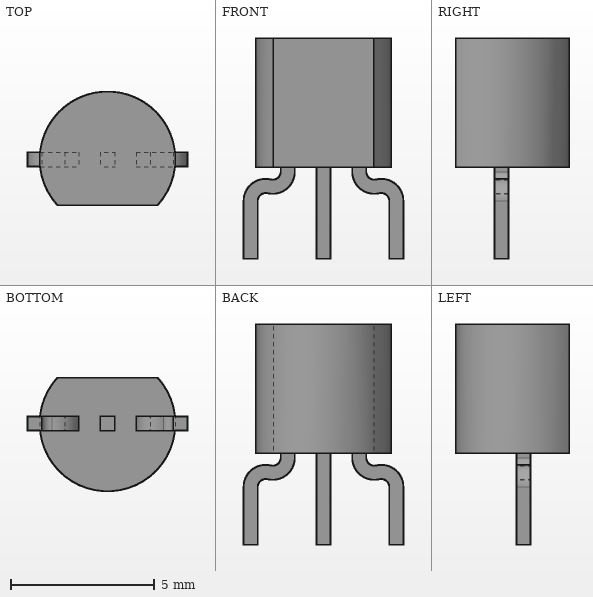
import cadquery as cq
import math

total_height = 7.7
body_height = 4.51
body_radius = 2.37
flat_distance = 1.6

lead_size = 0.5
lead_pitch = 2.54
outer_exit_x = 1.25
lead_foot_length = 2.02
bend_radius = 0.52
lead_length = total_height - body_height


def make_body():
    half_flat = math.sqrt(body_radius**2 - flat_distance**2)
    return (
        cq.Workplane("XY")
        .moveTo(-half_flat, -flat_distance)
        .threePointArc((0, body_radius), (half_flat, -flat_distance))
        .close()
        .extrude(body_height)
    )


def make_straight_lead():
    return cq.Workplane("XY").rect(lead_size, lead_size).extrude(-lead_length)


def make_bent_lead():
    """Lead on the +X side; its two equal bends meet tangentially."""
    half = lead_size / 2
    inner = bend_radius - half
    outer = bend_radius + half

    lower_x = lead_pitch - bend_radius
    lower_z = lead_foot_length - lead_length
    upper_x = outer_exit_x + bend_radius
    tilt = math.asin((lower_x - upper_x) / (2 * bend_radius))
    upper_z = lower_z + 2 * bend_radius * math.cos(tilt)

    def lower_point(radius, angle):
        return lower_x + radius * math.cos(angle), lower_z + radius * math.sin(angle)

    def upper_point(radius, angle):
        return upper_x - radius * math.cos(angle), upper_z - radius * math.sin(angle)

    meet = math.pi / 2 + tilt
    middle = meet / 2
    return (
        cq.Workplane("XZ")
        .moveTo(outer_exit_x - half, 0)
        .lineTo(*upper_point(outer, 0))
        .threePointArc(upper_point(outer, middle), upper_point(outer, meet))
        .threePointArc(lower_point(inner, middle), lower_point(inner, 0))
        .lineTo(lead_pitch - half, -lead_length)
        .lineTo(lead_pitch + half, -lead_length)
        .lineTo(*lower_point(outer, 0))
        .threePointArc(lower_point(outer, middle), lower_point(outer, meet))
        .threePointArc(upper_point(inner, middle), upper_point(inner, 0))
        .lineTo(outer_exit_x + half, 0)
        .close()
        .extrude(half, both=True)
    )


bent_lead = make_bent_lead()
result = (
    make_body()
    .union(make_straight_lead())
    .union(bent_lead)
    .union(bent_lead.mirror("YZ"))
)